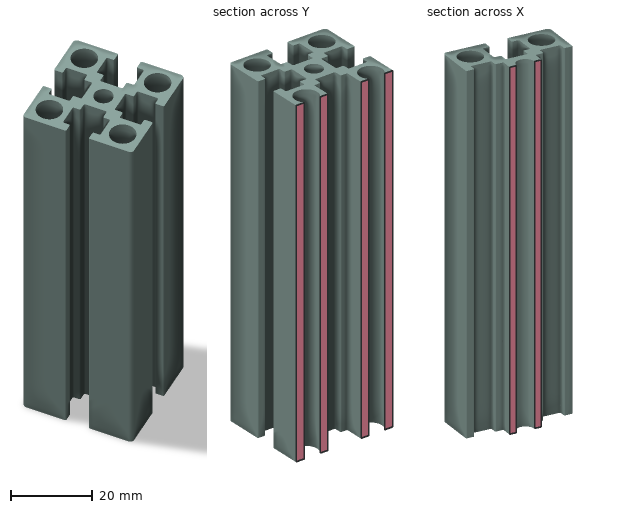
import cadquery as cq

width = 30.0
length = 100.0
corner_radius = 1.0

mouth_width = 6.2
chamber_width = 10.2
lip_thickness = 2.4
chamber_bottom_depth = 8.2
slot_depth = 10.5
slot_edge_radius = 0.3

corner_bore_diameter = 6.8
corner_bore_spacing = 20.0
center_bore_diameter = 5.0


def make_bar():
    """Square bar with rounded long edges."""
    return cq.Workplane("XY").box(width, width, length).edges("|Z").fillet(corner_radius)


def slot_block(block_width, start_depth, end_depth):
    """Full-length block spanning a range of depths below the +Y face."""
    center_y = width / 2 - (start_depth + end_depth) / 2
    return cq.Workplane("XY").box(block_width, end_depth - start_depth, length).translate((0, center_y, 0))


def make_slot():
    """T-slot cutter for the +Y side: a straight mouth with a wider chamber behind the lips."""
    mouth = slot_block(mouth_width, 0, slot_depth)
    chamber = slot_block(chamber_width, lip_thickness, chamber_bottom_depth)
    return mouth.union(chamber)


def is_slot_edge(edge):
    """True for the long edges of the slots, which lie closer to a mid-plane than the bar corners do."""
    offset = min(abs(edge.Center().x), abs(edge.Center().y))
    return offset <= chamber_width / 2 + slot_edge_radius


def cut_slots(bar):
    """Cut the slot into each side and round all of its long edges."""
    slot = make_slot()
    for angle in (0, 90, 180, 270):
        bar = bar.cut(slot.rotate((0, 0, 0), (0, 0, 1), angle))
    return bar.edges("|Z").filter(is_slot_edge).fillet(slot_edge_radius)


def cut_bores(bar):
    """Drill the centre bore and the four corner bores through the full length."""
    top = bar.faces(">Z").workplane(origin=(0, 0, 0))
    bar = top.hole(center_bore_diameter)
    top = bar.faces(">Z").workplane(origin=(0, 0, 0))
    return top.rarray(corner_bore_spacing, corner_bore_spacing, 2, 2).hole(corner_bore_diameter)


result = cut_bores(cut_slots(make_bar()))